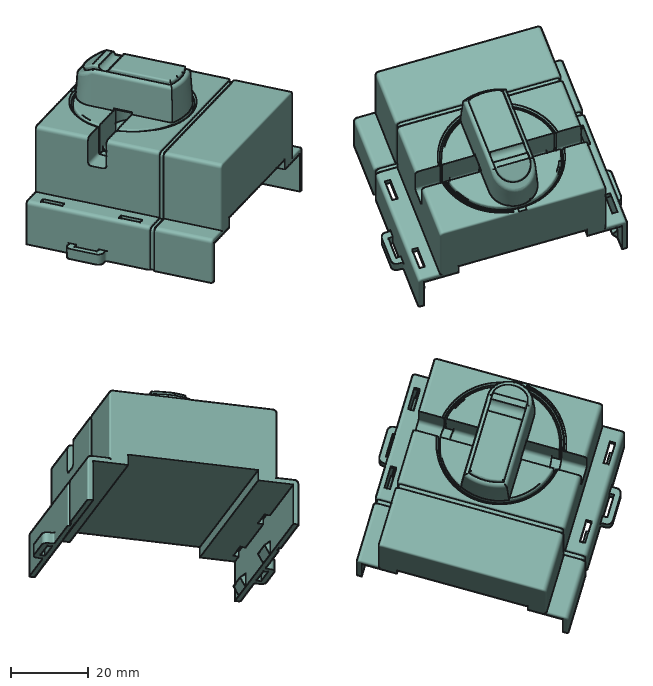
import cadquery as cq
import math


length = 52.5
base_half_width = 28.35
body_half_width = 22.5
shoulder_z = 12.5
body_top_z = 31.5
long_edge_radius = 1.1
end_edge_radius = 0.5
wall = 1.5
channel_half_width = 17.45
channel_ceiling_z = 13.9

groove_start_x = 34.9
groove_end_x = 36.0
groove_depth = 0.5

knob_x = 17.5
slot_width = 5.15
slot_floor_z = 23.35
slot_floor_radius = 1.0
disc_radius = 15.4
disc_edge_radius = 0.5
bore_radius = 15.9
bore_chamfer = 0.5
pocket_inner_radius = 13.35
pocket_drop = 0.3
hub_cavity_radius = 5.8

mark_depth = 0.1
notch_end_x = 1.6
notch_width = 2.0
band_inner_radius = 16.6
band_outer_radius = 17.1
band_start_angle = 98.0
band_end_angle = 172.0

handle_half_width = 6.45
handle_nose_x = 8.4
handle_top_z = 41.4
handle_draft = 4.0
handle_edge_radius = 1.0
nose_slope = 30.0
relief_radius = 1.0

cap_height = 1.1
cap_half_width = 4.65
cap_end_radius = 13.5
cap_edge_radius = 0.5
thumb_groove_x = 11.45
thumb_groove_radius = 1.75

clip_length = 6.0
clip_start_x = (3.6, 25.55)
clip_depth = 1.45
clip_tip_z = 2.5
clip_top_z = 3.8

loop_x = 17.45
loop_width = 10.1
loop_reach = 31.2
loop_height = 3.0
loop_opening_width = 6.3
loop_bar = 1.6
loop_corner_radius = 1.45
loop_root_radius = 0.45


def box(x0, x1, y0, y1, z0, z1):
    return cq.Workplane("XY").box(x1 - x0, y1 - y0, z1 - z0, centered=False).translate((x0, y0, z0))


def disc(radius, z0, z1):
    return cq.Workplane("XY", origin=(knob_x, 0, z0)).circle(radius).extrude(z1 - z0)


def ring(outer, inner, z0, z1):
    return disc(outer, z0, z1).cut(disc(inner, z0, z1))


def stepped_block(x0, x1, inset=0.0):
    """Solid with the stepped housing section, drawn in by `inset` all round."""
    base = base_half_width - inset
    body = body_half_width - inset
    shoulder = shoulder_z - inset
    top = body_top_z - inset
    half = [(base, 0), (base, shoulder), (body, shoulder), (body, top)]
    outline = half + [(-y, z) for y, z in reversed(half)]
    block = cq.Workplane("YZ", origin=(x0, 0, 0)).polyline(outline).close().extrude(x1 - x0)
    middle = (x0 + x1) / 2
    for y, z in [(base, shoulder), (-base, shoulder), (body, top), (-body, top)]:
        block = block.edges(cq.selectors.NearestToPointSelector((middle, y, z))).fillet(long_edge_radius)
    return block


def module(x0, x1):
    """Stepped block with rounded end outlines."""
    block = stepped_block(x0, x1)
    return block.faces("<X or >X").edges("not(<Z)").fillet(end_edge_radius)


def make_housing():
    housing = module(0, groove_start_x).union(module(groove_end_x, length))
    web = stepped_block(groove_start_x - end_edge_radius, groove_end_x + end_edge_radius, groove_depth)
    housing = housing.union(web)
    inner = base_half_width - wall
    housing = housing.cut(box(0, length, -inner, inner, 0, shoulder_z - wall))
    return housing.cut(box(0, length, -channel_half_width, channel_half_width, 0, channel_ceiling_z))


def cut_knob_gap(housing):
    """Free the dial from the housing: annular gap, bore chamfer and rounded dial edge."""
    bore = disc(bore_radius, slot_floor_z, body_top_z)
    lead_in = (
        cq.Workplane("XY", origin=(knob_x, 0, body_top_z - bore_chamfer))
        .circle(bore_radius)
        .workplane(offset=bore_chamfer)
        .circle(bore_radius + bore_chamfer)
        .loft()
    )
    dial = disc(disc_radius, slot_floor_z, body_top_z).faces(">Z").edges().fillet(disc_edge_radius)
    return housing.cut(bore.union(lead_in).cut(dial))


def cut_marks(housing):
    """Shallow pointer notch and curved band beside the dial."""
    floor_z = body_top_z - mark_depth
    notch = box(0, notch_end_x, -notch_width / 2, notch_width / 2, floor_z, body_top_z)

    def on_dial(radius, angle):
        turn = math.radians(angle)
        return (radius * math.cos(turn), radius * math.sin(turn))

    middle_angle = (band_start_angle + band_end_angle) / 2
    band = (
        cq.Workplane("XY", origin=(knob_x, 0, floor_z))
        .moveTo(*on_dial(band_inner_radius, band_start_angle))
        .threePointArc(on_dial(band_inner_radius, middle_angle), on_dial(band_inner_radius, band_end_angle))
        .lineTo(*on_dial(band_outer_radius, band_end_angle))
        .threePointArc(on_dial(band_outer_radius, middle_angle), on_dial(band_outer_radius, band_start_angle))
        .close()
        .extrude(mark_depth)
    )
    return housing.cut(notch).cut(band)


def cut_slot(housing):
    """Shackle slot across the body, with a deeper ring pocket and a round hub cavity."""
    x0 = knob_x - slot_width / 2
    x1 = knob_x + slot_width / 2
    square_slot = box(x0, x1, -body_half_width, body_half_width, slot_floor_z, body_top_z)
    slot = square_slot.edges("|Y and <Z").fillet(slot_floor_radius)
    pocket_floor_z = slot_floor_z - pocket_drop
    deep_slot = box(x0, x1, -body_half_width, body_half_width, pocket_floor_z, body_top_z)
    pocket = deep_slot.intersect(ring(bore_radius, pocket_inner_radius, pocket_floor_z, body_top_z))
    hub_cavity = disc(hub_cavity_radius, slot_floor_z, body_top_z)
    return housing.cut(slot).cut(pocket).cut(hub_cavity)


def arc_end_outline(plane, nose_x, half_width, end_radius):
    """Open outline from the nose along both sides, with an end arc centred on the knob at +X."""
    corner_x = knob_x + math.sqrt(end_radius**2 - half_width**2)
    return (
        plane.moveTo(nose_x, half_width)
        .lineTo(corner_x, half_width)
        .threePointArc((knob_x + end_radius, 0), (corner_x, -half_width))
        .lineTo(nose_x, -half_width)
    )


def make_handle():
    base = cq.Workplane("XY", origin=(0, 0, body_top_z))
    outline = arc_end_outline(base, handle_nose_x, handle_half_width, disc_radius)
    outline = outline.threePointArc((handle_nose_x - handle_half_width, 0), (handle_nose_x, handle_half_width)).close()
    handle = outline.extrude(handle_top_z - body_top_z, taper=handle_draft)

    drop = handle_nose_x * math.tan(math.radians(nose_slope))
    slope_cut = (
        cq.Workplane("XZ")
        .polyline([(handle_nose_x, handle_top_z), (0, handle_top_z - drop), (0, handle_top_z)])
        .close()
        .extrude(handle_half_width, both=True)
    )
    handle = handle.cut(slope_cut)
    shoulder_edges = handle.faces(">Z").edges("|X or >X").vals()
    nose_edge = handle.edges("%ELLIPSE").vals()
    return handle.newObject(shoulder_edges + nose_edge).fillet(handle_edge_radius)


def make_cap():
    """Raised pad that follows the handle top and bends down along the sloping nose."""
    turn = math.radians(nose_slope)
    bend_overlap = cap_height * math.tan(turn / 2)
    level = cq.Workplane("XY", origin=(0, 0, handle_top_z))
    outline = arc_end_outline(level, handle_nose_x - bend_overlap, cap_half_width, cap_end_radius)
    miter = (
        cq.Workplane("XZ")
        .moveTo(handle_nose_x, handle_top_z)
        .lineTo(handle_nose_x - bend_overlap, handle_top_z)
        .lineTo(handle_nose_x - bend_overlap, handle_top_z + cap_height)
        .close()
        .extrude(cap_half_width, both=True)
    )
    level_pad = outline.close().extrude(cap_height).cut(miter)

    slope_plane = cq.Plane(
        origin=(handle_nose_x, 0, handle_top_z),
        xDir=(math.cos(turn), 0, math.sin(turn)),
        normal=(-math.sin(turn), 0, math.cos(turn)),
    )
    nose_pad = (
        cq.Workplane(slope_plane)
        .moveTo(bend_overlap, cap_half_width)
        .lineTo(0, cap_half_width)
        .threePointArc((-cap_half_width, 0), (0, -cap_half_width))
        .lineTo(bend_overlap, -cap_half_width)
        .close()
        .extrude(cap_height)
    )
    cap = level_pad.union(nose_pad)
    slope_top = cq.selectors.DirectionMinMaxSelector(slope_plane.zDir, True)
    rim = cap.faces(">Z").edges("not |Y").vals() + cap.faces(slope_top).edges("not |Y").vals()
    cap = cap.newObject(rim).fillet(cap_edge_radius)
    thumb_groove = (
        cq.Workplane("XZ")
        .center(thumb_groove_x, handle_top_z + thumb_groove_radius)
        .circle(thumb_groove_radius)
        .extrude(cap_half_width, both=True)
    )
    return cap.cut(thumb_groove)


def cut_shackle_relief(handle):
    """Round the lower handle edges where the shackle slot passes beneath."""
    reach = handle_half_width + 1
    relief_top_z = body_top_z + relief_radius
    start = handle_half_width - relief_radius
    mid = relief_radius * math.sqrt(0.5)
    relief = (
        cq.Workplane("YZ", origin=(knob_x - slot_width / 2, 0, 0))
        .moveTo(start, body_top_z)
        .threePointArc((start + mid, relief_top_z - mid), (handle_half_width, relief_top_z))
        .lineTo(reach, relief_top_z)
        .lineTo(reach, body_top_z)
        .close()
        .extrude(slot_width)
    )
    return handle.cut(relief).cut(relief.mirror("XZ"))


def make_clip(start_x):
    """Snap hook on the inside of the +Y skirt."""
    root = base_half_width - wall
    profile = [(root, 0), (root - clip_depth, clip_tip_z), (root, clip_top_z)]
    return cq.Workplane("YZ", origin=(start_x, 0, 0)).polyline(profile).close().extrude(clip_length)


def clip_window(start_x):
    """Opening through the shoulder directly above a snap hook."""
    root = base_half_width - wall
    return box(start_x, start_x + clip_length, root - clip_depth, root, clip_top_z, shoulder_z)


def make_loop():
    """Pull loop on the outside of the +Y skirt."""
    x0 = loop_x - loop_width / 2
    x1 = loop_x + loop_width / 2
    root = base_half_width
    loop = box(x0, x1, root - wall, loop_reach, 0, loop_height)
    loop = loop.edges("|Z and >Y").fillet(loop_corner_radius)
    half_opening = loop_opening_width / 2
    opening = box(loop_x - half_opening, loop_x + half_opening, root, loop_reach - loop_bar, 0, loop_height)
    loop = loop.cut(opening)
    for corner_x, outward in ((x0, -1), (x1, 1)):
        tip_x = corner_x + outward * loop_root_radius
        mid = loop_root_radius * (1 - math.sqrt(0.5))
        root_fillet = (
            cq.Workplane("XY")
            .moveTo(corner_x, root)
            .lineTo(tip_x, root)
            .threePointArc((corner_x + outward * mid, root + mid), (corner_x, root + loop_root_radius))
            .close()
            .extrude(loop_height)
        )
        loop = loop.union(root_fillet)
    return loop


def add_rail_fittings(housing):
    for start_x in clip_start_x:
        clip = make_clip(start_x)
        window = clip_window(start_x)
        housing = housing.cut(window).cut(window.mirror("XZ"))
        housing = housing.union(clip).union(clip.mirror("XZ"))
    loop = make_loop()
    return housing.union(loop).union(loop.mirror("XZ"))


housing = cut_marks(cut_slot(cut_knob_gap(make_housing())))
housing = add_rail_fittings(housing)
handle = cut_shackle_relief(make_handle().union(make_cap()))
result = housing.union(handle)